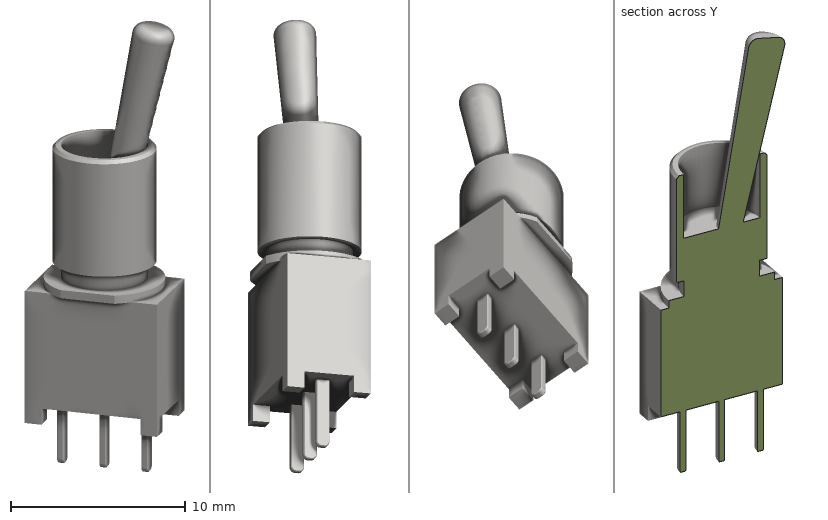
import cadquery as cq

body_length = 8.0
body_width = 5.0
foot_size = 1.0
foot_bottom = 3.0
body_underside = 4.0
body_top = 11.02

flange_diameter = 7.0
flange_width = 6.2
flange_top = 11.5
neck_diameter = 5.0
neck_top = 12.5
cap_diameter = 6.0
cap_top = 19.51
cap_edge_chamfer = 0.2
bore_diameter = 5.0
bore_floor = 15.33

lever_tilt = 12.0
lever_pivot = neck_top
lever_length = 14.8
lever_base_diameter = 1.4
lever_tip_diameter = 2.5
lever_tip_round = 0.57

pin_thickness = 0.4
pin_width = 0.8
pin_pitch = 2.55
pin_tip_round = 0.3
pin_edge_chamfer = 0.05


def cylinder(diameter, bottom, top):
    return cq.Workplane("XY").workplane(offset=bottom).circle(diameter / 2).extrude(top - bottom)


def box(length, width, bottom, top):
    return cq.Workplane("XY").workplane(offset=bottom).rect(length, width).extrude(top - bottom)


def make_body():
    """Rectangular housing with crossing channels that leave four corner feet."""
    body = box(body_length, body_width, foot_bottom, body_top)
    long_channel = box(body_length, body_width - 2 * foot_size, foot_bottom, body_underside)
    cross_channel = box(body_length - 2 * foot_size, body_width, foot_bottom, body_underside)
    return body.cut(long_channel).cut(cross_channel)


def make_flange():
    """Round flange with two flats facing -Y and +Y."""
    disc = cylinder(flange_diameter, body_top, flange_top)
    return disc.intersect(box(flange_diameter, flange_width, body_top, flange_top))


def make_cap():
    """Cup with a chamfered outer rim and a round blind bore."""
    cap = cylinder(cap_diameter, neck_top, cap_top).faces(">Z").edges().chamfer(cap_edge_chamfer)
    bore = cylinder(bore_diameter, bore_floor, cap_top)
    return cap.cut(bore)


def make_lever():
    """Tapered round lever with a rounded tip, leaning toward +X."""
    lever = (
        cq.Workplane("XZ")
        .polyline([
            (0, 0),
            (lever_base_diameter / 2, 0),
            (lever_tip_diameter / 2, lever_length),
            (0, lever_length),
        ])
        .close()
        .revolve(360, (0, 0, 0), (0, 1, 0))
        .faces(">Z").edges().fillet(lever_tip_round)
    )
    return lever.rotate((0, 0, 0), (0, 1, 0), lever_tilt).translate((0, 0, lever_pivot))


def make_pin(x):
    """Flat terminal pin with a rounded tip and chamfered side edges."""
    pin = box(pin_thickness, pin_width, 0, body_underside)
    pin = pin.faces("<Z").edges("|X").fillet(pin_tip_round)
    pin = pin.faces("<X or >X").edges("not >Z").chamfer(pin_edge_chamfer)
    return pin.translate((x, 0, 0))


result = make_body().union(make_flange())
result = result.union(cylinder(neck_diameter, flange_top, neck_top))
result = result.union(make_cap()).union(make_lever())
for x in (-pin_pitch, 0, pin_pitch):
    result = result.union(make_pin(x))